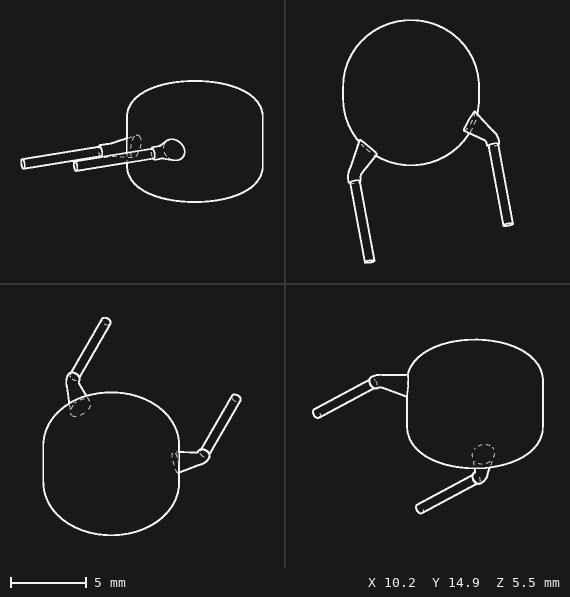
import cadquery as cq
import math


total_length = 14.88
disc_diameter = 9.0
disc_thickness = 5.5
disc_edge_radius = 1.0

lead_pitch = 9.3
lead_offset_z = 1.82
lead_diameter = 0.65
lead_tip_y = disc_diameter / 2 - total_length

sleeve_diameter = 0.85
sleeve_end_y = -4.87
sleeve_end_radius = 0.09
collar_length = 0.15
bend_tangent_length = 0.33
cone_length = 2.68
cone_slope = 0.18
cone_turn = 40.0
cone_tilt = 15.0

along_y = cq.Vector(0, 1, 0)
turn = math.radians(cone_turn)
tilt = math.radians(cone_tilt)
into_disc = cq.Vector(
    math.sin(turn) * math.cos(tilt),
    math.cos(turn) * math.cos(tilt),
    math.sin(tilt),
)
sleeve_end = cq.Vector(-lead_pitch / 2, sleeve_end_y, -lead_offset_z)
bend_start = sleeve_end + along_y * collar_length
bend_corner = bend_start + along_y * bend_tangent_length
bend_end = bend_corner + into_disc * bend_tangent_length


def make_disc():
    """Round disc with both rims rounded."""
    disc = cq.Workplane("XY").circle(disc_diameter / 2).extrude(disc_thickness / 2, both=True)
    return disc.edges("%CIRCLE").fillet(disc_edge_radius)


def make_collar():
    """Short straight end of the sleeve with a rounded outer rim."""
    collar = cq.Solid.makeCylinder(sleeve_diameter / 2, collar_length, sleeve_end, along_y)
    return cq.Workplane(obj=collar).faces("<Y").edges().fillet(sleeve_end_radius)


def make_bend():
    """Round elbow that turns the sleeve from the lead direction to the cone axis."""
    centre_line = cq.Edge.makeTangentArc(bend_start, along_y, bend_end)
    section_plane = cq.Plane(origin=bend_start, xDir=(1, 0, 0), normal=along_y)
    section = cq.Workplane(section_plane).circle(sleeve_diameter / 2)
    return section.sweep(cq.Workplane(obj=centre_line))


def make_cone():
    """Taper that widens from the bend into the disc."""
    small_radius = sleeve_diameter / 2
    large_radius = small_radius + cone_slope * cone_length
    return cq.Workplane(obj=cq.Solid.makeCone(small_radius, large_radius, cone_length, bend_end, into_disc))


def make_lead():
    """Straight round wire from the end of the sleeve to the tip."""
    lead_length = sleeve_end_y - lead_tip_y
    return cq.Workplane(obj=cq.Solid.makeCylinder(lead_diameter / 2, lead_length, sleeve_end, -along_y))


def place_on_side(shape, side_angle):
    """Turn a shape built at the -X side about the Y axis."""
    return shape.rotate((0, 0, 0), (0, 1, 0), side_angle)


side_angles = (0, 180)

coating = make_disc()
sleeve = make_collar().union(make_bend()).union(make_cone())
for side_angle in side_angles:
    coating = coating.union(place_on_side(sleeve, side_angle))

leads = [place_on_side(make_lead(), side_angle).val() for side_angle in side_angles]

result = cq.Compound.makeCompound([coating.val(), *leads])